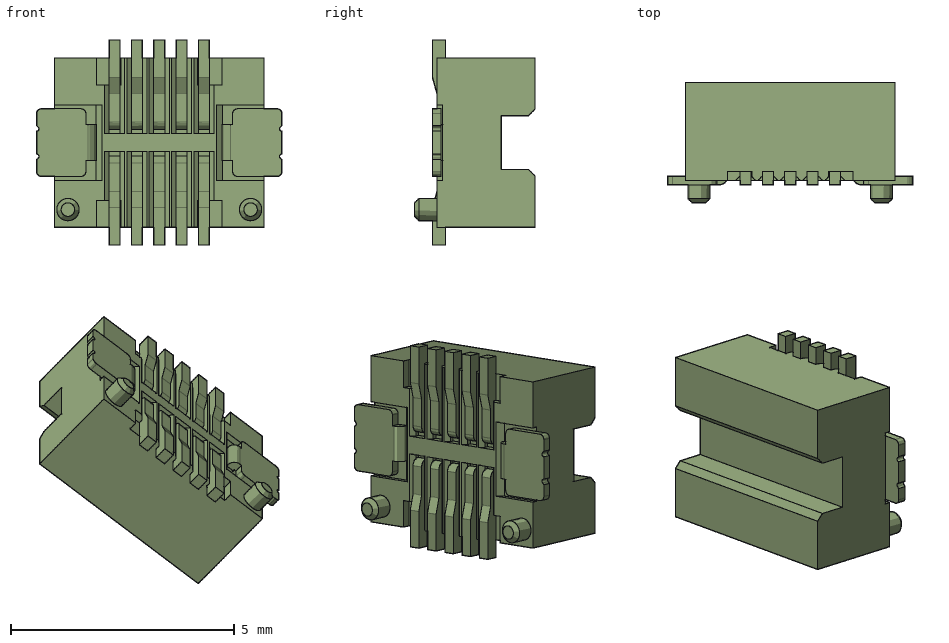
import cadquery as cq
import math


HOUSING_X = 4.695
HOUSING_Y = 2.2
HOUSING_Z = 3.8
CHANNEL_WIDTH = 1.2
CHANNEL_DEPTH = 0.755
CHANNEL_CHAMFER = 0.15

CONTACTS_PER_ROW = 5
PITCH = 0.5
CONTACT_WIDTH = 0.25
CONTACT_STANDOFF = 0.1
CONTACT_BACK = 0.2
CONTACT_TIP_Z = 2.3
RAMP_OUTER_Z = 1.46
RAMP_INNER_Z = 1.1
CONTACT_END_Z = 0.295
CONTACT_BEND = 0.16

SLOT_MOUTH = 0.45
SLOT_END_Z = 0.205
NOTCH_INNER_X = 0.86
NOTCH_OUTER_X = 1.4
NOTCH_END_Z = 1.29

CLIP_SPAN = 5.5
CLIP_THICKNESS = 0.2
TAB_STANDOFF = 0.1
TAB_INNER_X = 1.645
TAB_HEIGHT = 1.52
TAB_CORNER = 0.11
STRAP_WIDTH = 0.805
LEG_INNER_X = 1.4
LEG_BEND = 0.19
BRIDGE_BACK = 0.5
NICK_RADIUS = 0.052
NICK_Z = 0.31

POCKET_HEIGHT = 1.695
POCKET_DEPTH = 0.13
POCKET_INNER_X = 1.285

PEG_DIAMETER = 0.5
PEG_LENGTH = 0.5
PEG_CHAMFER = 0.1
PEG_X = 2.045
PEG_Z = -1.5

half_x = HOUSING_X / 2
half_z = HOUSING_Z / 2


def box(x_range, y_range, z_range):
    """Box between the given low and high limits on each axis."""
    size = [high - low for low, high in (x_range, y_range, z_range)]
    corner = cq.Vector(x_range[0], y_range[0], z_range[0])
    return cq.Workplane(cq.Solid.makeBox(*size, corner))


def extrude_along_x(outline, width):
    """Solid of a closed outline in the YZ plane, centred on X = 0."""
    return outline.close().extrude(width / 2, both=True)


def both_sides(shape, plane):
    """The shape fused with its mirror image in a plane through the origin."""
    return shape.union(shape.mirror(plane))


def make_block():
    """Plain block with a chamfered channel along X in its back face."""
    half_channel = CHANNEL_WIDTH / 2
    half_opening = half_channel + CHANNEL_CHAMFER
    floor_y = HOUSING_Y - CHANNEL_DEPTH
    chamfer_y = HOUSING_Y - CHANNEL_CHAMFER
    channel = cq.Workplane("YZ").polyline([
        (floor_y, -half_channel),
        (chamfer_y, -half_channel),
        (HOUSING_Y, -half_opening),
        (HOUSING_Y, half_opening),
        (chamfer_y, half_channel),
        (floor_y, half_channel),
    ])
    block = box((-half_x, half_x), (0, HOUSING_Y), (-half_z, half_z))
    return block.cut(extrude_along_x(channel, HOUSING_X))


def make_slot():
    """Upper slot: 45 degree flared mouth above a groove as wide as a contact."""
    half_mouth = SLOT_MOUTH / 2
    half_groove = CONTACT_WIDTH / 2
    flare_depth = half_mouth - half_groove
    return (
        cq.Workplane("XY", origin=(0, 0, SLOT_END_Z))
        .polyline([
            (-half_mouth, 0),
            (half_mouth, 0),
            (half_groove, flare_depth),
            (half_groove, CONTACT_BACK),
            (-half_groove, CONTACT_BACK),
            (-half_groove, flare_depth),
        ])
        .close()
        .extrude(half_z - SLOT_END_Z)
    )


def make_contact():
    """Upper contact: tail that steps back to the mounting face and ends in a rounded bend."""
    bend_offset = CONTACT_BEND * (1 - math.sqrt(0.5))
    outline = (
        cq.Workplane("YZ")
        .moveTo(CONTACT_BACK, CONTACT_TIP_Z)
        .lineTo(-CONTACT_STANDOFF, CONTACT_TIP_Z)
        .lineTo(-CONTACT_STANDOFF, RAMP_OUTER_Z)
        .lineTo(0, RAMP_INNER_Z)
        .lineTo(0, CONTACT_END_Z + CONTACT_BEND)
        .threePointArc((bend_offset, CONTACT_END_Z + bend_offset), (CONTACT_BEND, CONTACT_END_Z))
        .lineTo(CONTACT_BACK, CONTACT_END_Z)
    )
    return extrude_along_x(outline, CONTACT_WIDTH)


def make_corner_notches():
    """Four notches in the long front edges, outside the end contacts."""
    notch = box((NOTCH_INNER_X, NOTCH_OUTER_X), (0, CONTACT_BACK), (NOTCH_END_Z, half_z))
    return both_sides(both_sides(notch, "YZ"), "XY")


def make_pockets():
    """Shallow recesses under the two tabs, open to the ends of the housing."""
    pocket = (
        cq.Workplane("XY")
        .polyline([
            (POCKET_INNER_X, 0),
            (half_x, 0),
            (half_x, POCKET_DEPTH),
            (POCKET_INNER_X + POCKET_DEPTH, POCKET_DEPTH),
        ])
        .close()
        .extrude(POCKET_HEIGHT / 2, both=True)
    )
    return both_sides(pocket, "YZ")


def make_peg(x):
    """Round locating peg with a chamfered tip."""
    return (
        cq.Workplane("XZ", origin=(x, 0, PEG_Z))
        .circle(PEG_DIAMETER / 2)
        .extrude(PEG_LENGTH)
        .faces("<Y")
        .chamfer(PEG_CHAMFER)
    )


def make_nick():
    """Nick in the +X edge of a tab: a round bottom with a 45 degree lead-in on its upper side."""
    tab_edge = CLIP_SPAN / 2
    tangent = NICK_RADIUS * math.sqrt(0.5)
    plane = cq.Workplane("XZ", origin=(tab_edge, -TAB_STANDOFF, NICK_Z))
    round_bottom = plane.circle(NICK_RADIUS).extrude(-CLIP_THICKNESS)
    lead_in = (
        plane.polyline([(0, 0), (-tangent, tangent), (0, 2 * tangent)])
        .close()
        .extrude(-CLIP_THICKNESS)
    )
    return round_bottom.union(lead_in)


def make_tab():
    """Solder tab on the +X side, with rounded corners and two nicks in its outer edge."""
    tab_edge = CLIP_SPAN / 2
    tab_back = CLIP_THICKNESS - TAB_STANDOFF
    half_height = TAB_HEIGHT / 2
    plate = box((TAB_INNER_X, tab_edge), (-TAB_STANDOFF, tab_back), (-half_height, half_height))
    return plate.edges("|Y").fillet(TAB_CORNER).cut(both_sides(make_nick(), "XY"))


def make_clip():
    """Hold-down clip: a U-shaped strap with a tab on each end."""
    tab_back = CLIP_THICKNESS - TAB_STANDOFF
    leg_outer_x = LEG_INNER_X + CLIP_THICKNESS
    half_width = STRAP_WIDTH / 2
    arm = (
        box((LEG_INNER_X, TAB_INNER_X), (-TAB_STANDOFF, tab_back), (-half_width, half_width))
        .edges("|Z and <X and <Y")
        .fillet(LEG_BEND)
    )
    leg = box((LEG_INNER_X, leg_outer_x), (tab_back, BRIDGE_BACK), (-half_width, half_width))
    side = arm.union(leg).union(make_tab())
    bridge = box(
        (-LEG_INNER_X, LEG_INNER_X),
        (BRIDGE_BACK - CLIP_THICKNESS, BRIDGE_BACK),
        (-half_width, half_width),
    )
    return both_sides(side, "YZ").union(bridge)


def make_housing(clip):
    """Housing with its moulded-in contacts and pegs, hollowed to fit the clip."""
    body = make_block().cut(make_corner_notches()).cut(make_pockets())
    slots = both_sides(make_slot(), "XY")
    contacts = both_sides(make_contact(), "XY")
    for index in range(CONTACTS_PER_ROW):
        place = ((index - (CONTACTS_PER_ROW - 1) / 2) * PITCH, 0, 0)
        body = body.cut(slots.translate(place)).union(contacts.translate(place))
    for x in (-PEG_X, PEG_X):
        body = body.union(make_peg(x))
    return body.cut(clip)


hold_down_clip = make_clip()
housing = make_housing(hold_down_clip)

result = cq.Compound.makeCompound([housing.solids().val(), hold_down_clip.solids().val()])